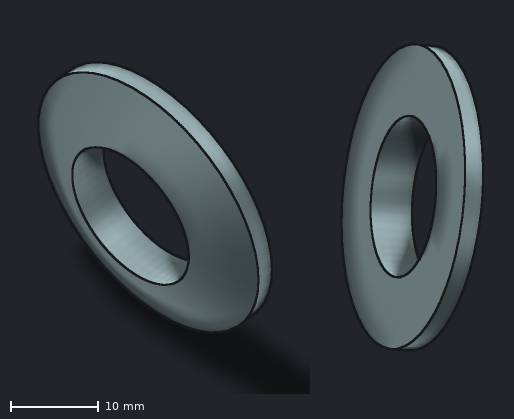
import cadquery as cq
import math

outer_diameter = 35.0
hole_diameter = 18.5
total_thickness = 5.2
seat_radius = 40.0

outer_radius = outer_diameter / 2
hole_radius = hole_diameter / 2


def height_above_sphere_center(radius):
    """Axial distance from the sphere center to the seat at a given radius."""
    return math.sqrt(seat_radius**2 - radius**2)


center_to_back = height_above_sphere_center(hole_radius) - total_thickness


def seat_point(radius):
    """Profile point on the spherical seat, with the flat back at Y = 0."""
    return (radius, center_to_back - height_above_sphere_center(radius))


def washer():
    """Revolve the half section, a rectangle with one spherical end, about the Y axis."""
    middle_radius = (hole_radius + outer_radius) / 2
    section = (
        cq.Workplane("XY")
        .moveTo(hole_radius, 0)
        .lineTo(outer_radius, 0)
        .lineTo(*seat_point(outer_radius))
        .threePointArc(seat_point(middle_radius), seat_point(hole_radius))
        .close()
    )
    return section.revolve(360, (0, 0, 0), (0, 1, 0))


result = washer()